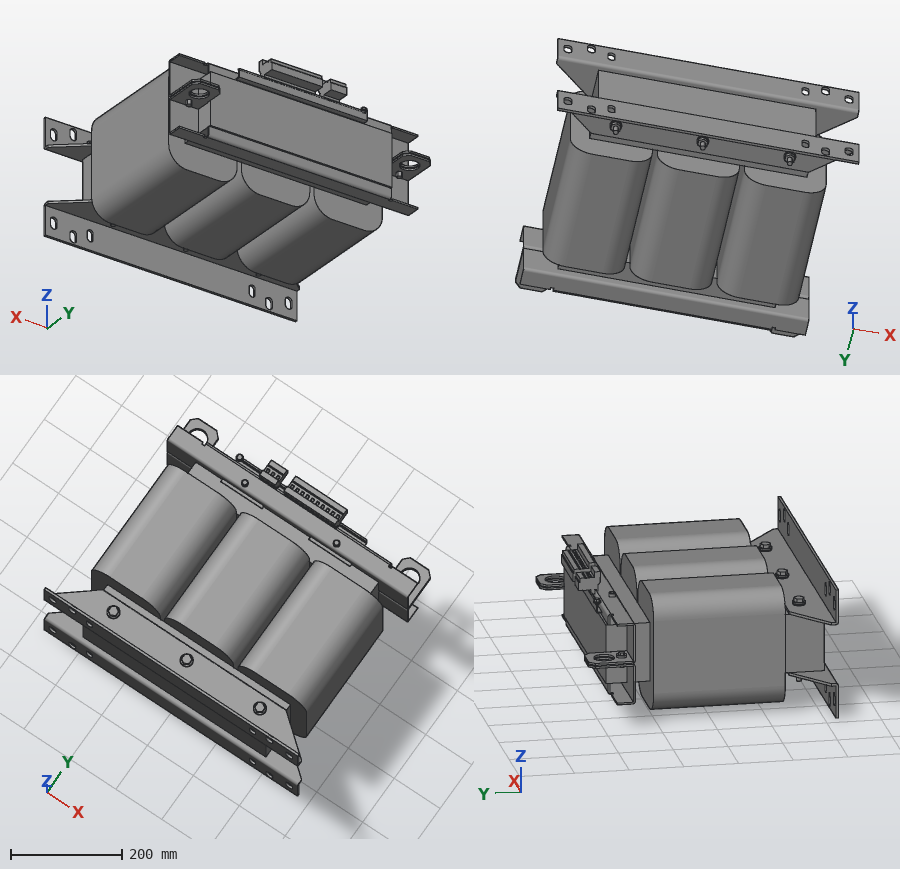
import cadquery as cq

SIDES = (-1, 1)

total_length = 552.0
total_depth = 452.0
total_height = 242.0

core_length = 398.5
core_height = 110.5
core_front = 11.5
core_rear = 410.5
leg_pitch = 159.5

coil_width = 150.0
coil_height = 217.0
coil_radius = 40.5
coil_front = 89.5
coil_rear = 330.0

foot_thickness = 5.0
foot_bend_radius = 6.0
foot_plate_depth = 75.5
foot_edge_depth = 13.0
slot_height = 24.5
foot_slots = ((258.0, 90.5, 14.5), (215.0, 105.0, 14.5), (178.0, 91.0, 12.5))

foot_bolt_y = 50.0
foot_washer_diameter = 24.0
foot_washer_height = 3.5
foot_spacer_diameter = 21.5
foot_spacer_height = 2.0
foot_hex_flats = 16.5
foot_head_height = 6.5
foot_nut_height = 9.5
foot_bolt_diameter = 9.0
foot_bolt_end = -84.5

channel_length = 523.5
channel_front = 369.0
channel_flange_rear = 402.0
channel_lip_rear = 407.0
channel_top = 76.0
channel_thickness = 3.6
channel_bend_radius = 5.5
channel_half_gap = 1.0
lip_length = 401.0
relief_width = 5.5
relief_depth = 4.0

lug_width = 61.0
lug_corner = 10.5
lug_hole_diameter = 37.0
lug_hole_y = 420.0

lug_bolt_y = 388.0
lug_washer_diameter = 18.0
lug_washer_height = 4.0
lug_hex_flats = 10.0
lug_head_height = 4.5
lug_nut_height = 9.5

rail_length = 281.5
rail_thickness = 2.0
rail_bottom = 59.0
rail_top = 78.0
rail_rear = 417.0
rail_flange_front = 413.0
rail_bend_radius = 3.5
rail_tab_front = 362.5
rail_tab_length = 90.0

rail_bolt_x = 100.0
rail_bolt_y = 380.0
rail_bolt_diameter = 6.0
rail_head_diameter = 12.0
rail_head_height = 8.0
rail_head_chamfer = 1.5
rail_nut_flats = 10.5
rail_nut_height = 6.5

earth_screw_x = -134.5
earth_screw_y = 414.0
earth_screw_flats = 9.5
earth_screw_height = 4.5
earth_washer_diameter = 13.0
earth_washer_height = 2.0
earth_shank_diameter = 6.5
earth_shank_bottom = 74.0

pole_pitch = 11.0
block_end_margin = 0.5
small_block_start = -80.5
small_block_poles = 3
large_block_start = -27.5
large_block_poles = 10
terminal_outline = (
    (438.0, 84.0), (438.0, 99.5), (435.5, 99.5), (435.5, 107.0), (408.5, 107.0), (408.5, 117.5),
    (398.0, 117.5), (398.0, 98.0), (402.0, 93.0), (402.0, 81.0), (405.0, 81.0), (405.0, 84.0),
)
terminal_top = 107.0
terminal_bottom = 84.0
terminal_foot_front = 408.0
terminal_foot_rear = 415.0
wire_hole_y = 415.5
wire_hole_length = 6.0
wire_hole_width = 5.0
wire_hole_depth = 5.5
test_hole_z = 102.5
test_hole_size = 5.0
test_hole_rear = 403.5
label_groove_y = 424.5
label_groove_width = 2.0
label_groove_depth = 1.5
label_groove_margin = 1.5

core_top = core_height / 2
window_width = leg_pitch - (core_length - 2 * leg_pitch)
leg_places = (-leg_pitch, 0, leg_pitch)
lug_x = (channel_length - lug_width) / 2


def box(x_range, y_range, z_range):
    """Box given by its limits along each axis."""
    size = [high - low for low, high in (x_range, y_range, z_range)]
    corner = (x_range[0], y_range[0], z_range[0])
    return cq.Workplane("XY").box(*size, centered=False).translate(corner)


def centred(length, middle=0):
    """Limits of a length centred on a place."""
    return (middle - length / 2, middle + length / 2)


def extrude_x(outline, x_range):
    """Prism along X from an outline in y and z."""
    start, end = x_range
    return cq.Workplane("YZ", origin=(start, 0, 0)).polyline(outline).close().extrude(end - start)


def cylinder(x, y, bottom, diameter, height):
    return cq.Workplane("XY", origin=(x, y, bottom)).circle(diameter / 2).extrude(height)


def hexagon(x, y, bottom, flats, height):
    """Upright hexagonal prism given by its width across flats."""
    return cq.Workplane("XY", origin=(x, y, bottom)).polygon(6, flats, circumscribed=True).extrude(height)


def mirror_down(shape):
    return shape.mirror("XY")


def make_core():
    core = box(centred(core_length), (core_front, core_rear), centred(core_height))
    for side in SIDES:
        window_x = centred(window_width, side * leg_pitch / 2)
        core = core.cut(box(window_x, (coil_front, coil_rear), centred(core_height)))
    return core


def make_coil(x):
    coil = box(centred(coil_width, x), (coil_front, coil_rear), centred(coil_height))
    return coil.edges("|Y").fillet(coil_radius)


def make_upper_foot():
    """Angle with a trapezoidal plate on the core and a slotted upright flange."""
    foot_top = total_height / 2
    plate_top = core_top + foot_thickness
    angle_outline = (
        (0, core_top), (foot_plate_depth, core_top), (foot_plate_depth, plate_top),
        (foot_thickness, plate_top), (foot_thickness, foot_top), (0, foot_top),
    )
    foot = extrude_x(angle_outline, centred(total_length))
    foot = foot.edges("|X and <Y and <Z").fillet(foot_bend_radius)
    for side in SIDES:
        corner = (
            (side * total_length / 2, foot_edge_depth),
            (side * total_length / 2, foot_plate_depth),
            (side * core_length / 2, foot_plate_depth),
        )
        foot = foot.cut(cq.Workplane("XY").polyline(corner).close().extrude(foot_top))
    for x, z, width in foot_slots:
        slots = cq.Workplane("XZ").pushPoints([(x, z), (-x, z)]).slot2D(slot_height, width, 90)
        foot = foot.cut(slots.extrude(-foot_thickness))
    return foot


def make_foot_bolt(x):
    """Through bolt: spacer, washer and hexagon head on top, spacer and nut below."""
    plate_top = core_top + foot_thickness
    washer_bottom = plate_top + foot_spacer_height
    head_bottom = washer_bottom + foot_washer_height
    nut_bottom = -plate_top - foot_nut_height
    bolt = cylinder(x, foot_bolt_y, foot_bolt_end, foot_bolt_diameter, head_bottom - foot_bolt_end)
    for bottom in (plate_top, -washer_bottom):
        bolt = bolt.union(cylinder(x, foot_bolt_y, bottom, foot_spacer_diameter, foot_spacer_height))
    bolt = bolt.union(cylinder(x, foot_bolt_y, washer_bottom, foot_washer_diameter, foot_washer_height))
    bolt = bolt.union(hexagon(x, foot_bolt_y, head_bottom, foot_hex_flats, foot_head_height))
    return bolt.union(hexagon(x, foot_bolt_y, nut_bottom, foot_hex_flats, foot_nut_height))


def make_upper_channel():
    """Channel with its web in front, a lip bent down onto the core and two lifting lugs."""
    inner_front = channel_front + channel_thickness
    inner_top = channel_top - channel_thickness
    lug_top = channel_half_gap + channel_thickness
    outline = (
        (channel_front, channel_half_gap), (channel_flange_rear, channel_half_gap),
        (channel_flange_rear, lug_top), (inner_front, lug_top), (inner_front, inner_top),
        (channel_flange_rear, inner_top), (channel_flange_rear, channel_top), (channel_front, channel_top),
    )
    channel = extrude_x(outline, centred(channel_length))
    channel = channel.edges("|X and <Y").fillet(channel_bend_radius)

    lip_front = channel_lip_rear - channel_thickness
    lip_outline = (
        (channel_flange_rear - relief_depth, channel_top), (channel_lip_rear, channel_top),
        (channel_lip_rear, core_top), (lip_front, core_top),
        (lip_front, inner_top), (channel_flange_rear - relief_depth, inner_top),
    )
    lip = extrude_x(lip_outline, centred(lip_length))
    lip = lip.edges("|X and >Y and >Z").fillet(channel_bend_radius)
    channel = channel.union(lip)

    for side in SIDES:
        relief_x = centred(relief_width, side * (lip_length + relief_width) / 2)
        relief_y = (channel_flange_rear - relief_depth, channel_flange_rear)
        channel = channel.cut(box(relief_x, relief_y, (inner_top, channel_top)))
        lug_y = (channel_front + channel_bend_radius, total_depth)
        lug = box(centred(lug_width, side * lug_x), lug_y, (channel_half_gap, lug_top))
        lug = lug.edges("|Z and >Y").chamfer(lug_corner)
        lug = lug.cut(cylinder(side * lug_x, lug_hole_y, 0, lug_hole_diameter, lug_top))
        channel = channel.union(lug)
    return channel


def make_lug_bolt(x):
    """Washer with a hexagonal bar standing for head, shank and nut."""
    lug_top = channel_half_gap + channel_thickness
    washer_top = lug_top + lug_washer_height
    bolt_bottom = -lug_top - lug_nut_height
    bolt = cylinder(x, lug_bolt_y, lug_top, lug_washer_diameter, lug_washer_height)
    bolt_length = washer_top + lug_head_height - bolt_bottom
    return bolt.union(hexagon(x, lug_bolt_y, bolt_bottom, lug_hex_flats, bolt_length))


def make_rail():
    """Bent strip: bottom leg with two front tabs, upright wall and a top flange."""
    wall_front = rail_rear - rail_thickness
    leg_top = rail_bottom + rail_thickness
    flange_bottom = rail_top - rail_thickness
    leg_front = channel_front + channel_thickness
    outline = (
        (leg_front, rail_bottom), (rail_rear, rail_bottom), (rail_rear, rail_top),
        (rail_flange_front, rail_top), (rail_flange_front, flange_bottom),
        (wall_front, flange_bottom), (wall_front, leg_top), (leg_front, leg_top),
    )
    rail = extrude_x(outline, centred(rail_length))
    rail = rail.edges("|X and >Y and <Z").fillet(rail_bend_radius)
    tab_x = (rail_length - rail_tab_length) / 2
    for side in SIDES:
        tab_limits = centred(rail_tab_length, side * tab_x)
        rail = rail.union(box(tab_limits, (rail_tab_front, leg_front), (rail_bottom, leg_top)))
    return rail


def make_rail_bolt(x):
    head = cylinder(x, rail_bolt_y, channel_top, rail_head_diameter, rail_head_height)
    head = head.faces(">Z").edges().chamfer(rail_head_chamfer)
    shank = cylinder(x, rail_bolt_y, core_top, rail_bolt_diameter, channel_top - core_top)
    return head.union(shank).union(hexagon(x, rail_bolt_y, core_top, rail_nut_flats, rail_nut_height))


def make_earth_screw():
    washer_top = rail_top + earth_washer_height
    shank_length = washer_top - earth_shank_bottom
    shank = cylinder(earth_screw_x, earth_screw_y, earth_shank_bottom, earth_shank_diameter, shank_length)
    washer = cylinder(earth_screw_x, earth_screw_y, rail_top, earth_washer_diameter, earth_washer_height)
    head = hexagon(earth_screw_x, earth_screw_y, washer_top, earth_screw_flats, earth_screw_height)
    return shank.union(washer).union(head)


def make_terminal_block(start, poles):
    """Row of terminals with a wire hole and a test hole per pole and a shallow label groove."""
    end = start + poles * pole_pitch + 2 * block_end_margin
    block = extrude_x(terminal_outline, (start, end))
    foot_y = (terminal_foot_front, terminal_foot_rear)
    block = block.union(box((start, end), foot_y, (rail_top - rail_thickness, terminal_bottom)))
    block_front = min(y for y, z in terminal_outline)
    for pole in range(poles):
        pole_x = start + block_end_margin + (pole + 0.5) * pole_pitch
        hole_y = centred(wire_hole_length, wire_hole_y)
        hole_z = (terminal_top - wire_hole_depth, terminal_top)
        block = block.cut(box(centred(wire_hole_width, pole_x), hole_y, hole_z))
        test_hole_y = (block_front, test_hole_rear)
        test_hole = box(centred(test_hole_size, pole_x), test_hole_y, centred(test_hole_size, test_hole_z))
        block = block.cut(test_hole)
    groove_x = (start + label_groove_margin, end - label_groove_margin)
    groove_y = centred(label_groove_width, label_groove_y)
    return block.cut(box(groove_x, groove_y, (terminal_top - label_groove_depth, terminal_top)))


result = make_core()
upper_foot = make_upper_foot()
upper_channel = make_upper_channel()
for bracket in (upper_foot, upper_channel):
    result = result.union(bracket).union(mirror_down(bracket))
for leg_x in leg_places:
    result = result.union(make_coil(leg_x)).union(make_foot_bolt(leg_x))
result = result.union(make_rail())
for side in SIDES:
    result = result.union(make_lug_bolt(side * lug_x)).union(make_rail_bolt(side * rail_bolt_x))
result = result.union(make_earth_screw())
result = result.union(make_terminal_block(small_block_start, small_block_poles))
result = result.union(make_terminal_block(large_block_start, large_block_poles))